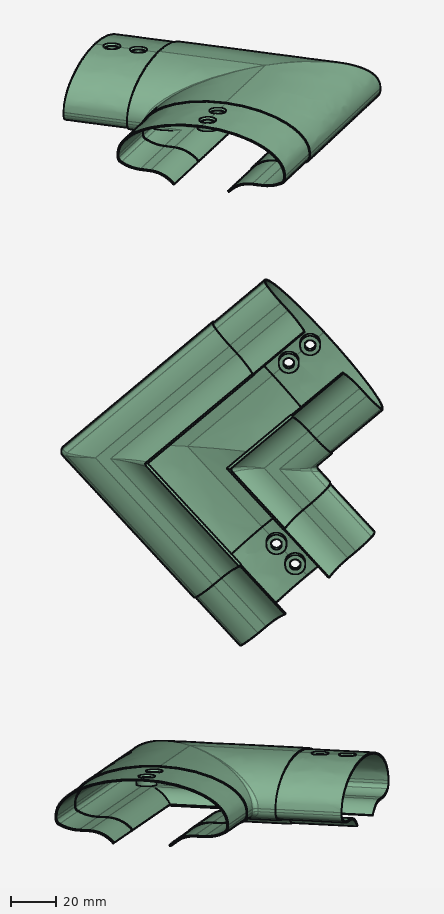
import cadquery as cq
import math

ARM_LENGTH = 80.0
SPIGOT_LENGTH = 30.0
SPIGOT_STEP = 0.5
WALL = 1.5
SPIGOT_WALL = 0.7

HALF_WIDTH = 39.95
CROWN_HEIGHT = 30.3
SPRING_HEIGHT = 11.5
CORNER_RADIUS = 3.5
BELLY_BOTTOM = 4.7
BELLY_RADIUS = 20.0
BELLY_ANGLE = math.radians(28)
LIP_ANGLE = math.radians(48)
LIP_HALF_GAP = 13.4

MITRE_RADIUS = 2.1

HOLES_FROM_END = (8.0, 20.5)
HOLE_DIAMETER = 4.8
SINK_DIAMETER = 7.6
SINK_FLOOR_DIAMETER = 5.8
SINK_DEPTH = 0.9
BOSS_DIAMETER = 9.0
BOSS_BOTTOM = 26.0

TOLERANCE = 1e-4
REACH = ARM_LENGTH + HALF_WIDTH


def polar(center, radius, angle):
    """Point at an angle measured from straight down towards the outside."""
    return (center[0] + radius * math.sin(angle), center[1] - radius * math.cos(angle))


BELLY_CENTER = (
    HALF_WIDTH - CORNER_RADIUS - (BELLY_RADIUS - CORNER_RADIUS) * math.sin(BELLY_ANGLE),
    BELLY_BOTTOM + BELLY_RADIUS,
)
CORNER_CENTER = polar(BELLY_CENTER, BELLY_RADIUS - CORNER_RADIUS, BELLY_ANGLE)
LIP_RADIUS = BELLY_BOTTOM / (1 - math.cos(LIP_ANGLE))
LIP_CENTER = (LIP_HALF_GAP + LIP_RADIUS * math.sin(LIP_ANGLE), BELLY_BOTTOM - LIP_RADIUS)


def profile_points(inset):
    """Points of the half profile, moved inwards from the outer profile by the inset."""
    corner = CORNER_RADIUS - inset
    belly = BELLY_RADIUS - inset
    lip = -(LIP_RADIUS + inset)
    return {
        "crown": (0, CROWN_HEIGHT - inset),
        "spring": (HALF_WIDTH - inset, SPRING_HEIGHT),
        "side_end": (HALF_WIDTH - inset, CORNER_CENTER[1]),
        "corner_mid": polar(CORNER_CENTER, corner, (math.pi / 2 + BELLY_ANGLE) / 2),
        "corner_end": polar(CORNER_CENTER, corner, BELLY_ANGLE),
        "belly_mid": polar(BELLY_CENTER, belly, BELLY_ANGLE / 2),
        "belly_end": polar(BELLY_CENTER, belly, 0),
        "lip_start": polar(LIP_CENTER, lip, 0),
        "lip_mid": polar(LIP_CENTER, lip, LIP_ANGLE / 2),
        "lip_end": polar(LIP_CENTER, lip, LIP_ANGLE),
    }


def dome_arc(sketch, inset, sense):
    """Quarter ellipse between crown and spring; sense -1 runs down from the crown, 1 runs up to it."""
    semi_width = HALF_WIDTH - inset
    semi_height = CROWN_HEIGHT - SPRING_HEIGHT - inset
    return sketch.ellipseArc(semi_width, semi_height, 0, 90, sense=sense)


def half_section(outer_inset, inner_inset):
    """The +X half of a wall section, between two insets of the outer profile."""
    outer = profile_points(outer_inset)
    inner = profile_points(inner_inset)
    sketch = dome_arc(cq.Workplane("XZ").moveTo(*outer["crown"]), outer_inset, -1)
    sketch = (
        sketch.lineTo(*outer["side_end"])
        .threePointArc(outer["corner_mid"], outer["corner_end"])
        .threePointArc(outer["belly_mid"], outer["belly_end"])
        .lineTo(*outer["lip_start"])
        .threePointArc(outer["lip_mid"], outer["lip_end"])
        .lineTo(*inner["lip_end"])
        .threePointArc(inner["lip_mid"], inner["lip_start"])
        .lineTo(*inner["belly_end"])
        .threePointArc(inner["belly_mid"], inner["corner_end"])
        .threePointArc(inner["corner_mid"], inner["side_end"])
        .lineTo(*inner["spring"])
    )
    return dome_arc(sketch, inner_inset, 1).close()


def tube(outer_inset, wall, start, length):
    """Arm wall running from y = start towards -Y."""
    half = half_section(outer_inset, outer_inset + wall).extrude(length)
    return half.union(half.mirror("YZ")).translate((0, start, 0))


def swap_xy(solid):
    """Mirror across the mitre plane x = y."""
    return solid.mirror("YZ").rotate((0, 0, 0), (0, 0, 1), -90)


def prism(corners):
    """Upright prism from height zero to the crown."""
    return cq.Workplane("XY").polyline(corners).close().extrude(CROWN_HEIGHT)


def mitred_corner(wall):
    """Both arms without their spigots, joined at the mitre with sharp edges."""
    arm = tube(0, wall, HALF_WIDTH, REACH - SPIGOT_LENGTH)
    arm = arm.intersect(prism([(REACH, REACH), (-REACH, -REACH), (REACH, -REACH)]))
    return arm.union(swap_xy(arm))


def outer_mitre_edges(part, skin):
    """Edges of the part that lie in the mitre plane and on the outer skin."""
    found = []
    for edge in part.edges().vals():
        middle = edge.positionAt(0.5)
        points = (edge.startPoint(), middle, edge.endPoint())
        in_plane = all(abs(point.x - point.y) < TOLERANCE for point in points)
        if in_plane and skin.distance(cq.Vertex.makeVertex(*middle.toTuple())) < TOLERANCE:
            found.append(edge)
    return found


def rounded_corner():
    """The mitred corner with its outer edges rounded, each side of the crown on its own.

    The edge is convex on the far side of the crown and concave on the near side.
    """
    corner = mitred_corner(WALL)
    skin = mitred_corner(WALL / 4).val()
    convex_side = prism([(REACH, REACH), (REACH, -REACH), (-REACH, REACH)])
    rounded = []
    for part in (corner.intersect(convex_side), corner.cut(convex_side)):
        edges = outer_mitre_edges(part, skin)
        rounded.append(cq.Workplane(part.val().fillet(MITRE_RADIUS, edges)))
    above_foot = prism([(-REACH, -REACH), (REACH, -REACH), (REACH, REACH), (-REACH, REACH)])
    return rounded[0].union(rounded[1]).intersect(above_foot)


def vertical_cylinder(diameter, y, bottom, top):
    return cq.Workplane("XY", origin=(0, y, bottom)).circle(diameter / 2).extrude(top - bottom)


def add_screw_hole(spigot, y):
    """Boss under the crown with a through hole and a conical sink on top."""
    crown = CROWN_HEIGHT - SPIGOT_STEP
    boss = vertical_cylinder(BOSS_DIAMETER, y, BOSS_BOTTOM, crown - SPIGOT_WALL / 2)
    hole = vertical_cylinder(HOLE_DIAMETER, y, 0, CROWN_HEIGHT)
    sink = (
        cq.Workplane("XY", origin=(0, y, crown))
        .circle(SINK_DIAMETER / 2)
        .workplane(offset=-SINK_DEPTH)
        .circle(SINK_FLOOR_DIAMETER / 2)
        .loft()
    )
    return spigot.union(boss).cut(hole).cut(sink)


def drilled_spigot():
    """Spigot at the end of the arm along -Y, with its screw holes."""
    spigot = tube(SPIGOT_STEP, SPIGOT_WALL, SPIGOT_LENGTH - ARM_LENGTH, SPIGOT_LENGTH)
    for distance in HOLES_FROM_END:
        spigot = add_screw_hole(spigot, distance - ARM_LENGTH)
    return spigot


spigot_along_y = drilled_spigot()
result = rounded_corner().union(spigot_along_y).union(swap_xy(spigot_along_y))